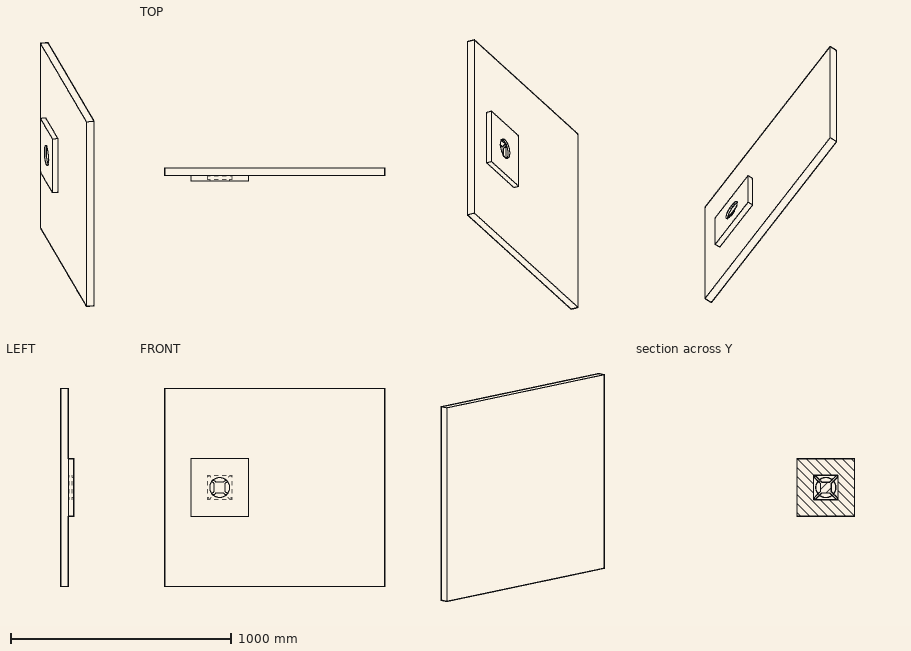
import cadquery as cq

panel_width = 1000.0
panel_height = 900.0
panel_thickness = 36.0

cover_side = 262.0
cover_depth = 25.0
cover_front_thickness = 9.0
cover_hole_diameter = 90.0
cover_x = -panel_width / 4
cavity_side = 110.0
cavity_depth = cover_depth - cover_front_thickness

brace_thickness = 2.0
pad_side = 50.0
arm_width = 10.0
arm_span = cavity_side * 2 ** 0.5 - arm_width
arm_angles = (45, -45)


def box_on_plane(width, height, depth, back=0):
    """Box centred at X = Z = 0 that reaches forward (-Y) from Y = back."""
    plane = cq.Workplane("XZ", origin=(0, back, 0))
    return plane.rect(width, height).extrude(depth)


def make_panel():
    return box_on_plane(panel_width, panel_height, panel_thickness, back=panel_thickness)


def make_cover():
    block = box_on_plane(cover_side, cover_side, cover_depth)
    cavity = box_on_plane(cavity_side, cavity_side, cavity_depth)
    hole = cq.Workplane("XZ").circle(cover_hole_diameter / 2).extrude(cover_depth)
    return block.cut(cavity).cut(hole).translate((cover_x, 0, 0))


def make_brace():
    brace = box_on_plane(pad_side, pad_side, brace_thickness)
    for angle in arm_angles:
        arm = box_on_plane(arm_span, arm_width, brace_thickness)
        brace = brace.union(arm.rotate((0, 0, 0), (0, 1, 0), angle))
    return brace.translate((cover_x, 0, 0))


panel = make_panel()
cover = make_cover()
brace = make_brace()

result = cq.Compound.makeCompound([panel.val(), cover.val(), brace.val()])